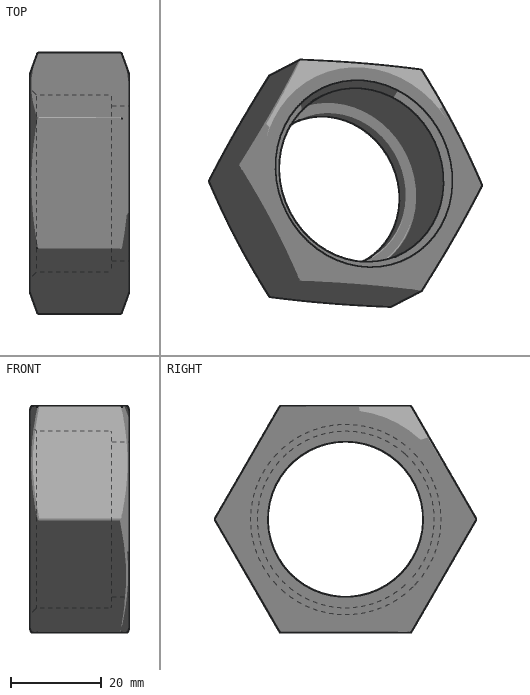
import cadquery as cq
import math

across_corners = 57.6
width = 22.0
edge_radius = 0.5

face_circle_radius = 23.95
chamfer_angle = 20.0
rim_clearance = 0.6

mouth_radius = 20.95
thread_radius = 19.45
mouth_depth = mouth_radius - thread_radius
thread_depth = 17.7
bottom_radius = 0.3
hole_radius = 17.05
lip_radius = 0.2

sharp_corner_radius = across_corners / 2 + edge_radius * (1 / math.cos(math.radians(30)) - 1)

front_x = -width / 2
back_x = width / 2


def revolve_about_x(profile_points):
    """Turn a closed outline of (x, radius) points about the X axis."""
    profile = cq.Workplane("XZ").polyline(profile_points).close()
    return profile.revolve(360, (0, 0, 0), (1, 0, 0))


def hexagon_prism():
    """Sharp hexagon along X with corners on +Y and -Y."""
    end_face = cq.Workplane("YZ", origin=(front_x, 0, 0)).polygon(6, 2 * sharp_corner_radius)
    return end_face.extrude(width)


def double_cone():
    """Disc whose rim is turned down to the chamfer cones at both ends."""
    rim_radius = sharp_corner_radius + rim_clearance
    drop = (rim_radius - face_circle_radius) * math.tan(math.radians(chamfer_angle))
    return revolve_about_x([
        (front_x, 0),
        (front_x, face_circle_radius),
        (front_x + drop, rim_radius),
        (back_x - drop, rim_radius),
        (back_x, face_circle_radius),
        (back_x, 0),
    ])


def nut_body():
    """Chamfered hexagon with the edges of its flats and of its end faces rounded."""
    body = hexagon_prism().intersect(double_cone())
    return body.faces("%PLANE").edges().fillet(edge_radius)


def stepped_bore():
    """Countersunk threaded bore followed by the smaller through hole."""
    thread_end_x = front_x + thread_depth
    step_x = thread_end_x + bottom_radius
    outline = (
        cq.Workplane("XZ")
        .moveTo(front_x, 0)
        .lineTo(front_x, mouth_radius)
        .lineTo(front_x + mouth_depth, thread_radius)
        .lineTo(thread_end_x, thread_radius)
        .radiusArc((step_x, thread_radius - bottom_radius), bottom_radius)
        .lineTo(step_x, hole_radius + lip_radius)
        .radiusArc((step_x + lip_radius, hole_radius), -lip_radius)
        .lineTo(back_x - lip_radius, hole_radius)
        .radiusArc((back_x, hole_radius + lip_radius), -lip_radius)
        .lineTo(back_x, 0)
        .close()
    )
    return outline.revolve(360, (0, 0, 0), (1, 0, 0))


result = nut_body().cut(stepped_bore())